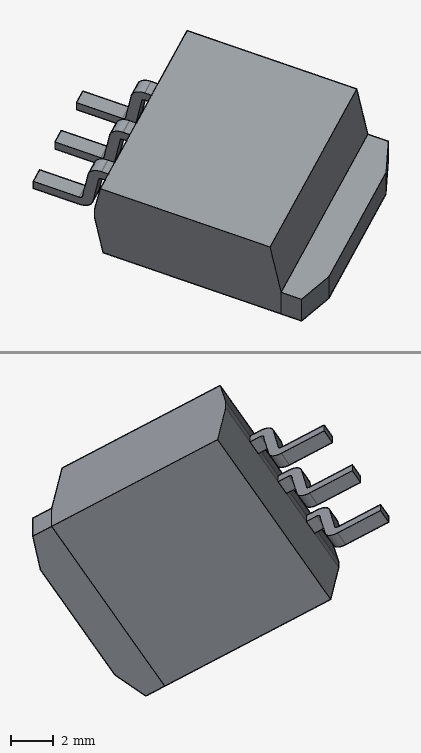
import cadquery as cq
import math

overall_length = 15.24
body_width = 10.17
body_height = 4.83

housing_start = 4.05
housing_end = 13.56
top_start = 4.36
top_end = 13.0
bottom_start = 4.5

tab_height = 1.66
tab_corner_length = 0.64
tab_corner_width = 1.74

lead_count = 3
lead_pitch = 2.53
lead_width = 0.75
lead_thickness = 0.55
lead_top = 3.08
lead_bottom = lead_top - lead_thickness
leg_center = 2.91
leg_lean = math.radians(9)
inner_bend_radius = 0.15
outer_bend_radius = inner_bend_radius + lead_thickness


def make_housing():
    """Molded block with sloped ends and an upright band where the leads meet it."""
    profile = [
        (bottom_start, 0),
        (housing_end, 0),
        (housing_end, tab_height),
        (top_end, body_height),
        (top_start, body_height),
        (housing_start, lead_top),
        (housing_start, lead_bottom),
    ]
    return cq.Workplane("XZ").polyline(profile).close().extrude(body_width / 2, both=True)


def make_tab():
    """Flat tab against the housing end, with its two outer corners cut off."""
    side = body_width / 2
    nose_side = side - tab_corner_width
    corner_start = overall_length - tab_corner_length
    outline = [
        (housing_end, -side),
        (corner_start, -side),
        (overall_length, -nose_side),
        (overall_length, nose_side),
        (corner_start, side),
        (housing_end, side),
    ]
    return cq.Workplane("XY").polyline(outline).close().extrude(tab_height)


def leg_face_x(z, side):
    """X of the leg's sloped face at height z; side is -1 at the tip end, 1 at the housing end."""
    half_thickness = lead_thickness / 2 / math.cos(leg_lean)
    return leg_center + side * half_thickness + (z - lead_top / 2) * math.tan(leg_lean)


def make_lead(center_y):
    """Gull-wing lead: foot, leaning leg and shoulder, with concentric bends."""
    foot_inner = (leg_face_x(lead_thickness, -1), lead_thickness)
    foot_outer = (leg_face_x(0, 1), 0)
    shoulder_inner = (leg_face_x(lead_bottom, 1), lead_bottom)
    shoulder_outer = (leg_face_x(lead_top, -1), lead_top)
    profile = [
        (0, 0),
        foot_outer,
        shoulder_inner,
        (housing_start, lead_bottom),
        (housing_start, lead_top),
        shoulder_outer,
        foot_inner,
        (0, lead_thickness),
    ]
    lead = cq.Workplane("XZ").polyline(profile).close().extrude(lead_width / 2, both=True)
    bends = [
        (foot_inner, inner_bend_radius),
        (shoulder_inner, inner_bend_radius),
        (foot_outer, outer_bend_radius),
        (shoulder_outer, outer_bend_radius),
    ]
    for (x, z), radius in bends:
        lead = lead.edges(cq.NearestToPointSelector((x, 0, z))).fillet(radius)
    return lead.translate((0, center_y, 0))


housing = make_housing()
tab = make_tab()
leads = []
for index in range(lead_count):
    center_y = (index - (lead_count - 1) / 2) * lead_pitch
    leads.append(make_lead(center_y).val())

result = cq.Compound.makeCompound([housing.val(), tab.val(), *leads])